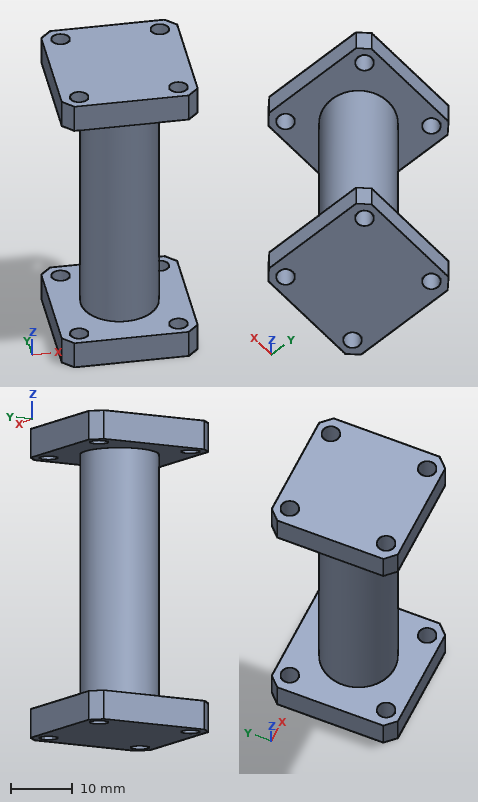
import cadquery as cq

overall_length = 50.8
flange_side = 22.35
flange_thickness = 4.7
corner_chamfer = 1.8
tube_diameter = 12.8

bolt_spacing_x = 16.3
bolt_spacing_y = 17.05
bolt_hole_diameter = 3.0

tube_length = overall_length - 2 * flange_thickness


def flange(bottom_z):
    """Square plate with chamfered corners and four through holes."""
    plate = (
        cq.Workplane("XY", origin=(0, 0, bottom_z))
        .rect(flange_side, flange_side)
        .extrude(flange_thickness)
        .edges("|Z")
        .chamfer(corner_chamfer)
    )
    return (
        plate.faces(">Z")
        .workplane(centerOption="CenterOfBoundBox")
        .rect(bolt_spacing_x, bolt_spacing_y, forConstruction=True)
        .vertices()
        .hole(bolt_hole_diameter)
    )


tube = (
    cq.Workplane("XY", origin=(0, 0, -tube_length / 2))
    .circle(tube_diameter / 2)
    .extrude(tube_length)
)

lower_flange = flange(-overall_length / 2)
upper_flange = flange(tube_length / 2)
result = tube.union(lower_flange).union(upper_flange)